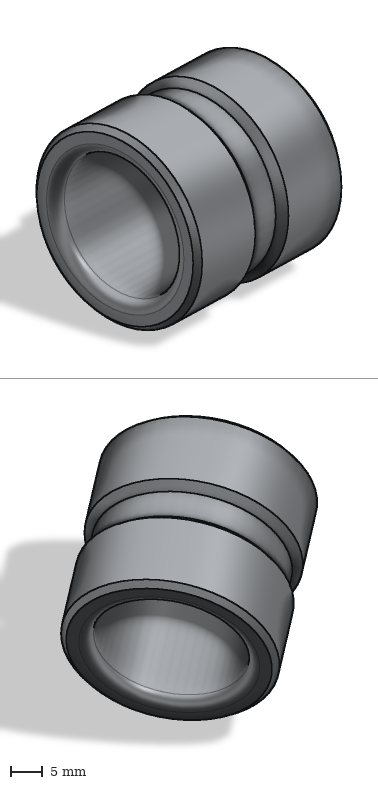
import cadquery as cq

length = 35.0
outer_radius = 17.5
bore_radius = 12.5
end_chamfer = 1.0
mouth_radius = 2.0

groove_depth = 1.45
groove_floor_width = 5.0
groove_top_width = groove_floor_width + 2 * groove_depth


def make_sleeve():
    """Plain tube with its outer end edges chamfered and bore mouths rounded."""
    body = cq.Workplane("XZ").circle(outer_radius).extrude(length / 2, both=True)
    body = body.faces("<Y or >Y").edges().chamfer(end_chamfer)
    bore = cq.Workplane("XZ").circle(bore_radius).extrude(length / 2, both=True)
    body = body.cut(bore)
    return body.edges(cq.selectors.RadiusNthSelector(0)).fillet(mouth_radius)


def make_groove_cutter():
    """Ring with a trapezoidal section that removes the outer groove."""
    floor_radius = outer_radius - groove_depth
    section = [
        (floor_radius, -groove_floor_width / 2),
        (outer_radius, -groove_top_width / 2),
        (outer_radius + groove_depth, -groove_top_width / 2),
        (outer_radius + groove_depth, groove_top_width / 2),
        (outer_radius, groove_top_width / 2),
        (floor_radius, groove_floor_width / 2),
    ]
    return cq.Workplane("XY").polyline(section).close().revolve(360, (0, 0, 0), (0, 1, 0))


result = make_sleeve().cut(make_groove_cutter())